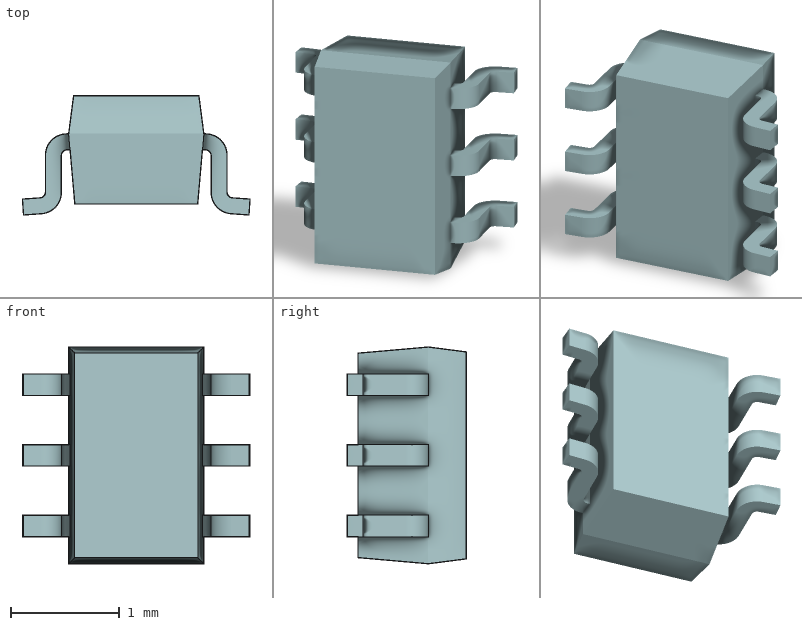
import cadquery as cq
import math


span_x = 2.1
span_y = 1.1

body_width = 1.247
body_length = 2.0
upper_height = 0.35
lower_height = 0.649
upper_draft = 7.4
lower_draft = 5.0

lead_width = 0.2
lead_thickness = 0.15
lead_pitch = 0.65
leads_per_side = 3
shank_outer_x = 0.838
inner_bend_radius = 0.05
foot_slope = 4.0

seat_y = upper_height - span_y


def make_body_half(plane, height, draft):
    """Drafted block, widest at the parting plane and growing along the plane's normal."""
    return (
        cq.Workplane(plane)
        .rect(body_width, body_length)
        .extrude(height, taper=draft)
    )


def point_on_bend(centre, radius, angle):
    """Point at the given angle, in radians, on a circle about a bend's centre."""
    return (
        centre[0] + radius * math.cos(angle),
        centre[1] + radius * math.sin(angle),
    )


def make_lead_outline():
    """S-shaped profile of a lead on the +X side, starting inside the moulding."""
    outer_bend_radius = inner_bend_radius + lead_thickness
    slope = math.radians(foot_slope)
    above_foot = (math.sin(slope), math.cos(slope))

    shank_inner_x = shank_outer_x - lead_thickness
    root_x = body_width / 2 - lead_thickness
    top_bend_x = shank_outer_x - outer_bend_radius
    top_bend_y = -outer_bend_radius

    tip_top = (span_x / 2, seat_y + lead_thickness * above_foot[1])
    tip_sole = (span_x / 2 - lead_thickness * above_foot[0], seat_y)

    foot_bend_x = shank_outer_x + inner_bend_radius
    sole_end_x = foot_bend_x - outer_bend_radius * above_foot[0]
    sole_end_y = seat_y + (tip_sole[0] - sole_end_x) * math.tan(slope)
    foot_bend_y = sole_end_y + outer_bend_radius * above_foot[1]

    top_bend = (top_bend_x, top_bend_y)
    foot_bend = (foot_bend_x, foot_bend_y)
    top_mid = math.pi / 4
    foot_end = 1.5 * math.pi - slope
    foot_mid = (math.pi + foot_end) / 2

    return (
        cq.Workplane("XY")
        .moveTo(root_x, 0)
        .lineTo(top_bend_x, 0)
        .threePointArc(
            point_on_bend(top_bend, outer_bend_radius, top_mid),
            (shank_outer_x, top_bend_y),
        )
        .lineTo(shank_outer_x, foot_bend_y)
        .threePointArc(
            point_on_bend(foot_bend, inner_bend_radius, foot_mid),
            point_on_bend(foot_bend, inner_bend_radius, foot_end),
        )
        .lineTo(*tip_top)
        .lineTo(*tip_sole)
        .lineTo(sole_end_x, sole_end_y)
        .threePointArc(
            point_on_bend(foot_bend, outer_bend_radius, foot_mid),
            (shank_inner_x, foot_bend_y),
        )
        .lineTo(shank_inner_x, top_bend_y)
        .threePointArc(
            point_on_bend(top_bend, inner_bend_radius, top_mid),
            (top_bend_x, -lead_thickness),
        )
        .lineTo(root_x, -lead_thickness)
        .close()
    )


def make_moulding():
    """The whole moulding: both drafted halves joined at the parting plane."""
    facing_up = cq.Plane(origin=(0, 0, 0), xDir=(-1, 0, 0), normal=(0, 1, 0))
    facing_down = cq.Plane(origin=(0, 0, 0), xDir=(1, 0, 0), normal=(0, -1, 0))
    upper_half = make_body_half(facing_up, upper_height, upper_draft)
    lower_half = make_body_half(facing_down, lower_height, lower_draft)
    return upper_half.union(lower_half)


def make_leads(moulding):
    """Two mirrored rows of leads, each lead ending flush on the moulding's drafted side."""
    lead = make_lead_outline().extrude(lead_width / 2, both=True).cut(moulding)
    first_z = -(leads_per_side - 1) / 2 * lead_pitch
    solids = []
    for row in range(leads_per_side):
        right_lead = lead.translate((0, 0, first_z + row * lead_pitch))
        left_lead = right_lead.mirror("YZ")
        solids.append(right_lead.val())
        solids.append(left_lead.val())
    return solids


moulding = make_moulding()
leads = make_leads(moulding)

result = cq.Compound.makeCompound([moulding.val(), *leads])